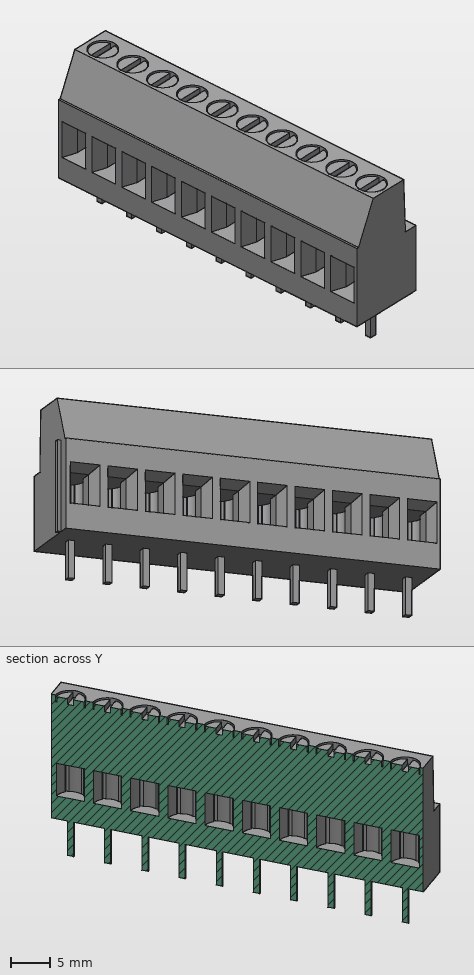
import cadquery as cq

pole_count = 10
pitch = 5.1
first_pole_x = 2.6
housing_length = pole_count * pitch
housing_depth = 11.2
housing_height = 18.05

front_wall_height = 11.9
front_ledge = 0.3
top_front_y = 3.1
rear_step_height = 9.9
rear_step_y = 9.2
top_rear_y = 8.9

rib_thickness = 0.5
rib_height = 12.05
rib_center_y = 1.95
rib_outer_width = 0.75
rib_root_width = 0.5

entry_floor_z = 3.4
entry_mouth_width = 4.0
entry_mouth_top_z = 8.85
entry_throat_width = 2.55
entry_throat_top_z = 8.05
entry_funnel_depth = 2.1
entry_depth = 7.2

screw_y = 5.5
screw_diameter = 3.8
screw_hole_diameter = 4.0
screw_hole_depth = 1.05
screw_recess = 0.2
screw_slot_width = 0.75

pin_width = 0.85
pin_depth = 1.05
pin_length = 5.0
pin_y = 5.35

pole_positions = [first_pole_x + index * pitch for index in range(pole_count)]


def make_housing():
    profile = [
        (0, 0),
        (housing_depth, 0),
        (housing_depth, rear_step_height),
        (rear_step_y, rear_step_height),
        (top_rear_y, housing_height),
        (top_front_y, housing_height),
        (front_ledge, front_wall_height),
        (0, front_wall_height),
    ]
    return cq.Workplane("YZ").polyline(profile).close().extrude(housing_length)


def make_rib():
    """Dovetail rib, widest on its outer face."""
    profile = [
        (0, rib_center_y - rib_root_width / 2),
        (-rib_thickness, rib_center_y - rib_outer_width / 2),
        (-rib_thickness, rib_center_y + rib_outer_width / 2),
        (0, rib_center_y + rib_root_width / 2),
    ]
    return cq.Workplane("XY").polyline(profile).close().extrude(rib_height)


def entry_section(x, y, width, top_z):
    """Upright rectangle standing on the entry floor, as a wire at depth y."""
    height = top_z - entry_floor_z
    center = (x, y, entry_floor_z + height / 2)
    return cq.Workplane("XZ", origin=center).rect(width, height).val()


def make_wire_entry(x):
    """Flat-floored funnel and throat ending in a round bore on the screw axis."""
    mouth = entry_section(x, 0, entry_mouth_width, entry_mouth_top_z)
    throat = entry_section(x, entry_funnel_depth, entry_throat_width, entry_throat_top_z)
    funnel = cq.Workplane(cq.Solid.makeLoft([mouth, throat], True))

    throat_height = entry_throat_top_z - entry_floor_z
    throat_channel = cq.Workplane("XY").box(
        entry_throat_width,
        entry_depth - entry_funnel_depth,
        throat_height,
        centered=(True, False, False),
    ).translate((x, entry_funnel_depth, entry_floor_z))
    clamp_bore = (
        cq.Workplane("XY", origin=(x, screw_y, entry_floor_z))
        .circle(screw_diameter / 2)
        .extrude(throat_height)
    )
    return funnel.union(throat_channel).union(clamp_bore)


def make_screw_hole(x):
    """Blind hole around the slotted screw head, as the volume to remove."""
    floor = cq.Workplane("XY", origin=(x, screw_y, housing_height - screw_hole_depth))
    hole = floor.circle(screw_hole_diameter / 2).extrude(screw_hole_depth)
    head_height = screw_hole_depth - screw_recess
    head = floor.circle(screw_diameter / 2).extrude(head_height)
    slot = floor.rect(screw_slot_width, screw_hole_diameter).extrude(head_height)
    return hole.cut(head.cut(slot))


def make_pin(x):
    return (
        cq.Workplane("XY", origin=(x, pin_y, 0))
        .rect(pin_width, pin_depth)
        .extrude(-pin_length)
    )


result = make_housing().union(make_rib())
for pole_x in pole_positions:
    result = result.cut(make_wire_entry(pole_x))
    result = result.cut(make_screw_hole(pole_x))
    result = result.union(make_pin(pole_x))